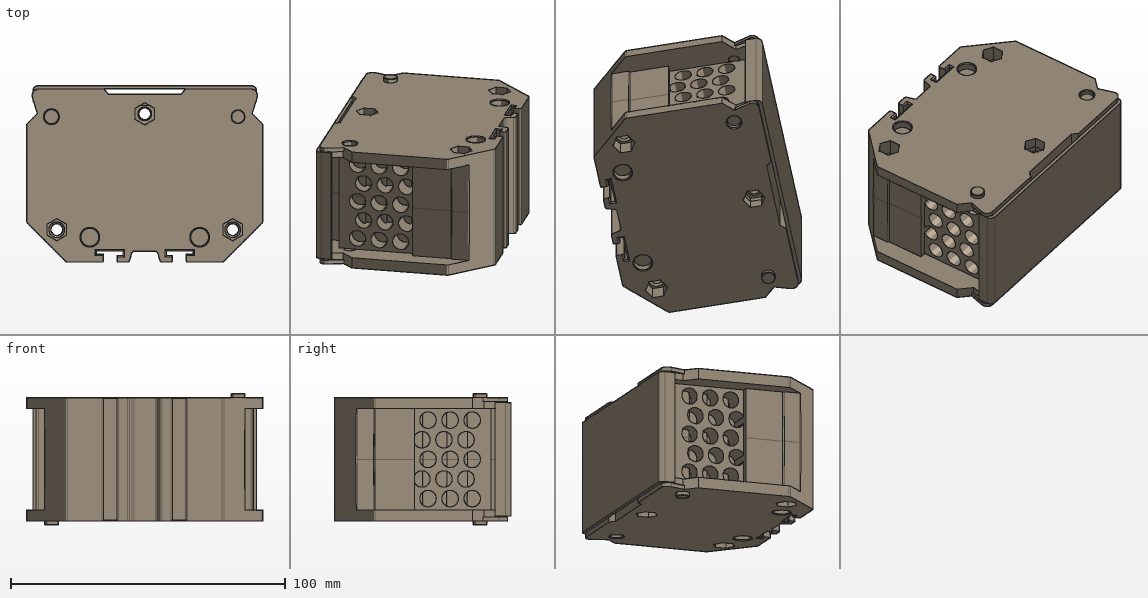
import cadquery as cq
import math

half_width = 43.0
half_depth = 22.5
total_height = 64.35
lid_thickness = 1.25
top_y = total_height - lid_thickness
overcut = 5.0
edge_margin = 0.1

rail_corner = 14.45
corner_radius = 1.0
shoulder_y = 50.25
waist_x = 39.15
waist_y = shoulder_y + half_width - waist_x
ear_slope = 0.31
ear_radius = 2.4

lip_thickness = 1.5
core_depth = half_depth - lip_thickness
core_inset = 0.45

lid_half_width = 40.75
lid_skirt = 1.2
lid_half_depth = 20.65
lid_skirt_y = 58.5
lid_outer_radius = 2.0
lid_inner_x = lid_half_width - lid_skirt
lid_inner_radius = lid_outer_radius - lid_skirt

recess_half_depth = half_depth - 4.0
recess_floor_x = 35.95
recess_low_x = 36.45
recess_end_x = 36.3
recess_step_y = 14.3
recess_end_y = rail_corner - (half_width - recess_end_x)
recess_bend_y = recess_end_y + 0.6
recess_draft = 0.5
shelf_x = 26.0

block_x = 33.8
block_low_y = 29.1
block_high_y = 57.1
block_middle_y = (block_low_y + block_high_y) / 2

wire_hole_diameter = 6.0
wire_pitch_y = 8.05
wire_pitch_z = 7.15
wire_first_y = 50.2
wire_row_shift = 2.25
wire_columns = 3
wire_side_rows = 2
wire_step_ys = (48.5, 41.0, 32.2)
wire_first_depth = 5.0
wire_step_depth = 1.5

slot_outer_x = 18.2
slot_inner_x = 7.4
slot_top_y = 4.55
slot_outer_lip_y = 2.4
slot_inner_lip_y = 1.9
slot_flare = 0.55
slot_flare_depth = 0.35
mouth_outer_x = 15.1
mouth_inner_x = 10.1
mouth_radius = 0.5
channel_top_half = 4.5
channel_mouth_half = 5.7
channel_top_y = 3.95
channel_radius = 0.9

window_half_top = 14.8
window_half_bottom = 13.2
window_y = 61.2

screw_diameter = 4.2
nut_flats = 7.0
nut_depth = 6.0
rail_screw_x = 32.05
rail_screw_y = 11.85
top_screw_y = 54.05
screws = [
    (0, top_screw_y, 5.0),
    (-rail_screw_x, rail_screw_y, 5.7),
    (rail_screw_x, rail_screw_y, 5.7),
]
rim_chamfer = 0.35
dimple_x = 20.0
dimple_y = 9.1
dimple_diameter = 6.5
dimple_depth = 2.9
pin_x = 34.0
pin_y = 53.0
pin_diameter = 5.0
pin_height = 1.5
pin_chamfer = 0.2
pin_hollow_diameter = 4.2
pin_hollow_depth = 2.0
socket_diameter = 5.1
socket_depth = 1.8


def mirrored(points):
    """Close a right-hand chain of points with its mirror image across X = 0."""
    return points + [(-x, y) for x, y in reversed(points)]


def prism(points, depth, taper=0.0):
    """Prism on the middle plane from a closed chain of (x, y) points."""
    return cq.Workplane("XY").polyline(points).close().extrude(depth, taper=taper)


def both_sides(shape):
    return shape.union(shape.mirror("YZ"))


def end_face():
    return cq.Workplane("XY", origin=(0, 0, half_depth))


def turned(shape):
    """The same shape turned half a turn about Y, onto the other end."""
    return shape.rotate((0, 0, 0), (0, 1, 0), 180)


def upright_edges(shape, y, reach):
    """Edges along Z at height y, no further than reach from X = 0."""
    reach += edge_margin
    low = (-reach, y - edge_margin, 0)
    high = (reach, y + edge_margin, 2 * half_depth)
    return shape.edges("|Z").edges(cq.selectors.BoxSelector(low, high))


def outlined_block(depth, ear_points, top_radius):
    """Half-depth plate with the housing's outline and the given ears."""
    low_points = [(half_width - rail_corner, 0), (half_width, rail_corner), (half_width, shoulder_y)]
    block = prism(mirrored(low_points + ear_points), depth)
    for corner_y in (0, rail_corner):
        block = upright_edges(block, corner_y, half_width).fillet(corner_radius)
    return upright_edges(block, top_y, half_width).fillet(top_radius)


def housing_block():
    """Core and end lip; the lid skirt drops into the step between their ears."""
    ear_top_x = waist_x + ear_slope * (top_y - waist_y)
    lip = outlined_block(half_depth, [(waist_x, waist_y), (ear_top_x, top_y)], ear_radius)
    core_space = cq.Workplane("XY").box(4 * half_width, 4 * half_width, 2 * core_depth)
    lip = lip.cut(core_space)
    core_x = waist_x - core_inset
    core_y = waist_y + core_inset
    core_ear = [(core_x, core_y), (lid_inner_x, lid_skirt_y), (lid_inner_x, top_y)]
    core = outlined_block(core_depth, core_ear, lid_inner_radius)
    return core.union(lip)


def rail_cuts():
    """Hooked slot on each side, flared at its end, with its mouth in the rail face."""
    middle_x = (mouth_outer_x + mouth_inner_x) / 2
    slot = [
        (slot_outer_x, slot_top_y),
        (slot_inner_x, slot_top_y),
        (slot_inner_x, slot_inner_lip_y),
        (middle_x, slot_inner_lip_y),
        (middle_x, slot_outer_lip_y),
        (slot_outer_x, slot_outer_lip_y),
    ]
    flare_angle = math.degrees(math.atan(slot_flare / slot_flare_depth))
    flare = end_face().polyline(slot).close().extrude(-slot_flare_depth, taper=flare_angle)
    straight = cq.Workplane("XY").polyline(slot).close().offset2D(-slot_flare).extrude(half_depth)
    mouth_top_y = slot_top_y - slot_flare
    mouth = prism(
        [(mouth_outer_x, 0), (mouth_inner_x, 0), (mouth_inner_x, mouth_top_y), (mouth_outer_x, mouth_top_y)],
        half_depth,
    )
    return both_sides(straight.union(flare).union(mouth))


def channel_cut():
    return prism(mirrored([(channel_mouth_half, 0), (channel_top_half, channel_top_y)]), half_depth)


def recess_cut():
    """Drafted recess on the +X side, with the deeper shelf that opens above the terminal block."""
    out_x = half_width + overcut
    profile = [
        (out_x, recess_end_y - (out_x - recess_end_x)),
        (recess_end_x, recess_end_y),
        (recess_low_x, recess_bend_y),
        (recess_low_x, recess_step_y),
        (recess_floor_x, recess_step_y + recess_low_x - recess_floor_x),
        (recess_floor_x, block_middle_y),
        (shelf_x, block_middle_y),
        (shelf_x, top_y + overcut),
        (out_x, top_y + overcut),
    ]
    return prism(profile, recess_half_depth, recess_draft)


def rounded_rail(half):
    """Round the edges of the channel and of the slot mouths."""
    half = upright_edges(half, channel_top_y, channel_top_half).fillet(channel_radius)
    half = upright_edges(half, 0, channel_mouth_half).fillet(channel_radius)
    return upright_edges(half, 0, mouth_outer_x).fillet(mouth_radius)


def window_cut():
    return prism(mirrored([(window_half_bottom, window_y), (window_half_top, top_y)]), half_depth)


def rimmed_pocket(x, y, diameter, depth):
    """Round blind pocket in the end face with a chamfered rim."""
    pocket = end_face().center(x, y).circle(diameter / 2).extrude(-depth)
    rim = end_face().center(x, y).circle(diameter / 2 + rim_chamfer).extrude(-rim_chamfer, taper=45)
    return pocket.union(rim)


def screw_cut(x, y, sink_diameter):
    """Clearance hole, nut pocket in the end face and the countersink in the pocket's floor."""
    nut_floor = half_depth - nut_depth
    hole = cq.Workplane("XY").circle(screw_diameter / 2).extrude(half_depth)
    nut_corners = nut_flats / math.cos(math.pi / 6)
    floor_plane = cq.Workplane("XY", origin=(0, 0, nut_floor))
    nut = floor_plane.polygon(6, nut_corners).extrude(nut_depth)
    nut = nut.rotate((0, 0, 0), (0, 0, 1), 30)
    sink_depth = (sink_diameter - screw_diameter) / 2
    sink = floor_plane.circle(sink_diameter / 2).extrude(-sink_depth, taper=45)
    return hole.union(nut).union(sink).translate((x, y, 0))


def cut_screws(shape):
    """Cut the upper half of every screw hole."""
    for x, y, sink_diameter in screws:
        shape = shape.cut(screw_cut(x, y, sink_diameter))
    return shape


def pin():
    post = end_face().center(pin_x, pin_y).circle(pin_diameter / 2).extrude(pin_height)
    return post.faces(">Z").chamfer(pin_chamfer)


def pin_hollow():
    """Blind hole under the pin, open to the recess."""
    start = cq.Workplane("XY", origin=(pin_x, pin_y, recess_half_depth))
    return start.circle(pin_hollow_diameter / 2).extrude(pin_hollow_depth)


def block_prism(length):
    """Plain bar with the section of the terminal block."""
    bar = cq.Workplane("XY").box(length, block_high_y - block_low_y, 2 * recess_half_depth)
    return bar.translate((0, block_middle_y, 0))


def housing():
    half = housing_block().cut(channel_cut()).cut(rail_cuts())
    half = rounded_rail(half)
    half = half.cut(both_sides(recess_cut()))
    half = half.cut(window_cut())
    half = cut_screws(half)
    for x in (-dimple_x, dimple_x):
        half = half.cut(rimmed_pocket(x, dimple_y, dimple_diameter, dimple_depth))
    half = half.cut(rimmed_pocket(-pin_x, pin_y, socket_diameter, socket_depth))
    half = half.union(pin()).cut(pin_hollow())
    return half.union(turned(half)).cut(block_prism(2 * half_width))


def wire_cut():
    """Blind wire holes in the +X end; their floors step deeper towards the rail."""
    centers = []
    for row in range(-wire_side_rows, wire_side_rows + 1):
        first_y = wire_first_y - wire_row_shift * (row % 2)
        for column in range(wire_columns):
            centers.append((first_y - column * wire_pitch_y, row * wire_pitch_z))
    deepest = wire_first_depth + len(wire_step_ys) * wire_step_depth
    start = cq.Workplane("YZ", origin=(block_x - deepest, 0, 0))
    holes = start.pushPoints(centers).circle(wire_hole_diameter / 2).extrude(deepest)
    floor_x = block_x - wire_first_depth
    steps = [(half_width, block_high_y), (floor_x, block_high_y)]
    for step_y in wire_step_ys:
        steps.append((floor_x, step_y))
        floor_x -= wire_step_depth
        steps.append((floor_x, step_y))
    low_y = block_low_y - wire_hole_diameter
    steps += [(floor_x, low_y), (half_width, low_y)]
    half_steps = prism(steps, recess_half_depth, recess_draft)
    return holes.intersect(half_steps.union(half_steps.mirror("XY")))


def terminal_block():
    block = cut_screws(block_prism(2 * block_x))
    block = turned(cut_screws(turned(block)))
    return block.cut(both_sides(wire_cut()))


def u_prism(half_x, high_y, radius):
    """Prism as long as the lid, with its two upper corners rounded."""
    block = prism(mirrored([(half_x, lid_skirt_y), (half_x, high_y)]), 2 * lid_half_depth)
    block = upright_edges(block, high_y, half_x).fillet(radius)
    return block.translate((0, 0, -lid_half_depth))


def lid():
    outer = u_prism(lid_half_width, total_height, lid_outer_radius)
    return outer.cut(u_prism(lid_inner_x, top_y, lid_inner_radius))


bodies = [housing(), terminal_block(), lid()]
result = cq.Compound.makeCompound([body.val() for body in bodies])